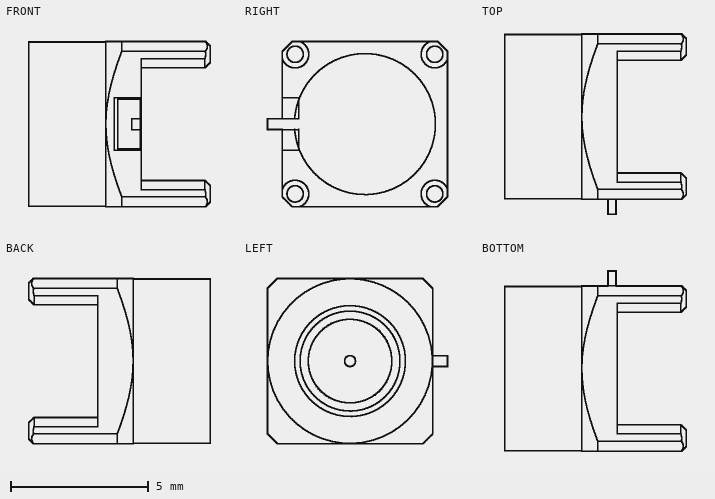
import cadquery as cq
import math

total_length = 6.59
block_width = 6.0
half_block = block_width / 2
block_corner_chamfer = 0.36
barrel_radius = 2.985
barrel_length = 2.795
block_rear = 4.085
corner_cone_angle = 30.0

bore_radius = 1.515
counterbore_radius = 1.81
counterbore_end = 0.855
mouth_chamfer = 0.2
taper_end = 1.4
bore_depth = barrel_length
groove_start = 2.11
groove_width = 0.09
groove_depth = 0.03

contact_radius = 0.2
contact_tip = 1.78

insulator_radius = 2.56
insulator_rear = 4.04
window_front = 3.1
window_height = 1.89
flat_front = 3.22
flat_height = 1.8
flat_offset = math.sqrt(insulator_radius**2 - (flat_height / 2) ** 2)

lead_thickness = 0.295
lead_width = 0.4
lead_reach = 0.54

leg_radius = 0.495
leg_offset = 2.53
leg_tip_chamfer = 0.2


def box(x_range, y_range, height):
    """Box between two X and two Y limits, centred on Z = 0."""
    length = x_range[1] - x_range[0]
    width = y_range[1] - y_range[0]
    corner = (x_range[0], y_range[0], -height / 2)
    return cq.Workplane("XY").box(length, width, height, centered=False).translate(corner)


def rod(start, end, radius):
    """Cylinder on the X axis."""
    return cq.Workplane("YZ", origin=(start, 0, 0)).circle(radius).extrude(end - start)


def revolve_profile(profile):
    """Turn a closed (x, radius) profile about the X axis."""
    return profile.close().revolve(360, (0, 0, 0), (1, 0, 0))


def make_octagonal_bar():
    """Square bar with chamfered corners, the envelope of the block and legs."""
    bar = box((barrel_length, total_length), (-half_block, half_block), block_width)
    return bar.edges("|X").chamfer(block_corner_chamfer)


def make_body():
    """Round barrel that widens over a cone into the block."""
    corner_radius = math.hypot(half_block, half_block)
    cone_length = (corner_radius - barrel_radius) * math.tan(math.radians(corner_cone_angle))
    turned = revolve_profile(
        cq.Workplane("XY")
        .lineTo(0, barrel_radius)
        .lineTo(barrel_length, barrel_radius)
        .lineTo(barrel_length + cone_length, corner_radius)
        .lineTo(block_rear, corner_radius)
        .lineTo(block_rear, 0)
    )
    return rod(0, barrel_length, barrel_radius).union(turned.intersect(make_octagonal_bar()))


def make_bore():
    """Chamfered mouth, counterbore, taper and bore with a shallow sawtooth groove."""
    return revolve_profile(
        cq.Workplane("XY")
        .lineTo(0, counterbore_radius + mouth_chamfer)
        .lineTo(mouth_chamfer, counterbore_radius)
        .lineTo(counterbore_end, counterbore_radius)
        .lineTo(taper_end, bore_radius)
        .lineTo(groove_start, bore_radius)
        .lineTo(groove_start, bore_radius + groove_depth)
        .lineTo(groove_start + groove_width, bore_radius)
        .lineTo(bore_depth, bore_radius)
        .lineTo(bore_depth, 0)
    )


def make_contact():
    """Centre pin with a hemispherical tip."""
    dome_centre = contact_tip + contact_radius
    dome = cq.Workplane("XY").sphere(contact_radius).translate((dome_centre, 0, 0))
    return rod(dome_centre, window_front, contact_radius).union(dome)


def make_window():
    """Side opening down to the insulator, plus the flat on the insulator."""
    opening = box((window_front, block_rear), (-half_block, 0), window_height)
    opening = opening.cut(rod(window_front, block_rear, insulator_radius))
    flat = box((flat_front, block_rear), (-half_block, -flat_offset), flat_height)
    return opening.union(flat)


def make_lead():
    """Flat lead leaving the insulator through the window."""
    x_range = (insulator_rear - lead_thickness, insulator_rear)
    y_range = (-half_block - lead_reach, -bore_radius)
    return box(x_range, y_range, lead_width)


def make_legs():
    """Four chamfered round legs trimmed by the sides of the block."""
    corners = [(y * leg_offset, z * leg_offset) for y in (-1, 1) for z in (-1, 1)]
    legs = (
        cq.Workplane("YZ", origin=(insulator_rear, 0, 0))
        .pushPoints(corners)
        .circle(leg_radius)
        .extrude(total_length - insulator_rear)
        .faces(">X")
        .chamfer(leg_tip_chamfer)
    )
    return legs.intersect(make_octagonal_bar())


rear_recess = rod(insulator_rear, block_rear, insulator_radius)

result = (
    make_body()
    .cut(make_bore())
    .cut(rear_recess)
    .cut(make_window())
    .union(make_contact())
    .union(make_lead())
    .union(make_legs())
)